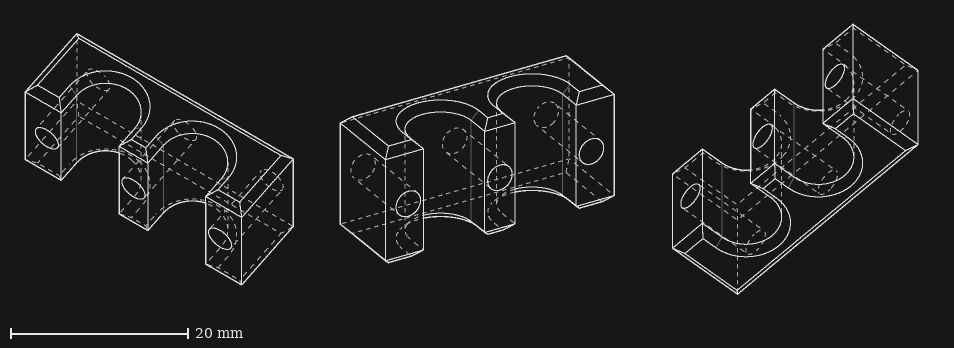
import cadquery as cq

length = 30.0
depth = length / 3
height = length / 2
channel_spacing = 12.0
channel_diameter = 8.0
channel_axis_depth = 3.0
hole_diameter = 3.2
chamfer = depth / 10

front_y = -depth / 2
channel_axis_y = front_y + channel_axis_depth
channel_positions = [-channel_spacing / 2, channel_spacing / 2]
hole_positions = [-channel_spacing, 0, channel_spacing]


def channel(x):
    """Vertical U-shaped channel, open at the front face."""
    bore = (
        cq.Workplane("XY", origin=(x, channel_axis_y, -height / 2))
        .circle(channel_diameter / 2)
        .extrude(height)
    )
    mouth = cq.Workplane("XY").box(channel_diameter, channel_axis_depth, height)
    mouth = mouth.translate((x, front_y + channel_axis_depth / 2, 0))
    return bore.union(mouth)


def screw_hole(x):
    """Round hole running through the full depth of the block."""
    return (
        cq.Workplane("XZ", origin=(x, depth / 2, 0))
        .circle(hole_diameter / 2)
        .extrude(depth)
    )


result = cq.Workplane("XY").box(length, depth, height)
for x in channel_positions:
    result = result.cut(channel(x))

result = result.faces("|Z").edges().chamfer(chamfer)

for x in hole_positions:
    result = result.cut(screw_hole(x))